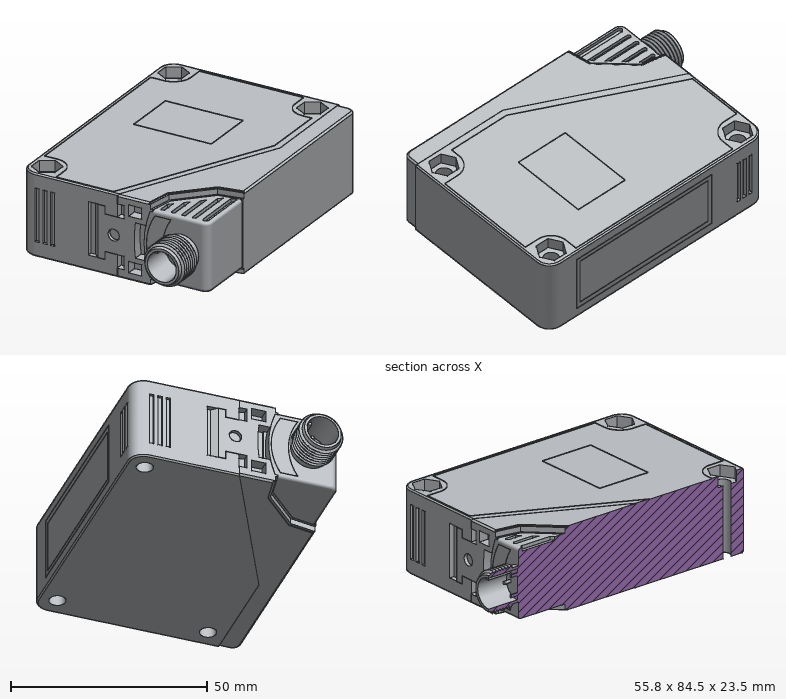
import cadquery as cq
import math

WIDTH = 55.79
DEPTH = 74.55
HEIGHT = 23.5
TOTAL_DEPTH = 84.46
CONNECTOR_LENGTH = TOTAL_DEPTH - DEPTH
TOP = HEIGHT / 2
CLEAR = 5.0

COVER_CORNER_R = 4.2
COVER_CHAMFER = 0.4
COVER_INSET_FRONT = 0.25
BASE_INSET_FRONT = 0.08
BASE_INSET_BACK = 0.4
BASE_INSET_TOP = 0.06
BASE_CORNER_R = 2.2
BASE_CHAMFER = 0.5
PARTING_FRONT_X = 28.6
PARTING_BACK_X = 50.6
PARTING_BEND_Y = 44.7

HOLE_D = 4.4
NUT_FLATS = 7.0
NUT_DEPTH = 3.2
HOLE_LEFT_X = 4.9
HOLE_RIGHT_X = 45.86
HOLE_FRONT_Y = 5.33
HOLE_BACK_Y = 69.1
HOLES = [
    (HOLE_LEFT_X, HOLE_FRONT_Y),
    (HOLE_LEFT_X, HOLE_BACK_Y),
    (HOLE_RIGHT_X, HOLE_BACK_Y),
]

LABEL_MARGIN = 1.15
LABEL_RIGHT_X = 48.65
LABEL_BEND_Y = 45.2
LABEL_FRONT_X = 26.9
LABEL_CORNER_R = 5.1
LABEL_DEPTH = 0.15
WINDOW_X = 11.2
WINDOW_Y = 38.2
WINDOW_SIZE = (22.9, 16.0)
WINDOW_DEPTH = 0.15

PANEL_CENTER_Y = 41.65
PANEL_SIZE = (46.1, 17.5)
PANEL_PANE_SIZE = (43.7, 14.6)
PANEL_STEP = 0.1

GROOVE_COUNT = 3
GROOVE_DEPTH = 1.0
FRONT_GROOVE_X = 4.3
FRONT_GROOVE_WIDTH = 1.2
FRONT_GROOVE_PITCH = 2.28
FRONT_GROOVE_LENGTH = 15.1
SIDE_GROOVE_Y = 4.8
SIDE_GROOVE_WIDTH = 1.1
SIDE_GROOVE_PITCH = 2.0
SIDE_GROOVE_LENGTH = 13.6

LATCH_X = 20.0
LATCH_FLOOR_END_X = 21.35
LATCH_RAMP_END_X = 22.95
LATCH_HEAD_END_X = 25.0
LATCH_HEAD_HEIGHT = 15.1
LATCH_NECK_HEIGHT = 10.6
LATCH_DEPTH = 1.6
LATCH_HOLE_X = 27.6
LATCH_HOLE_D = 3.3
LATCH_HOLE_DEPTH = 1.0

WEDGE_WIDTH = 2.1
WEDGE_TOP_Z = 9.07
WEDGE_DEPTH_LEFT = 2.2
WEDGE_DEPTH_RIGHT = 1.8
SQUARE_X = 32.0
SQUARE_WIDTH = 3.85
SQUARE_BOTTOM_Z = 6.4
SQUARE_TOP_Z = 9.6
SQUARE_DEPTH = 3.0
MIDDLE_LEFT_X = 34.0
MIDDLE_RIGHT_X = 36.1
MIDDLE_BULGE = 0.35
MIDDLE_HEIGHT = 10.0
MIDDLE_DEPTH = 3.0
MIDDLE_LEDGE_DEPTH = 2.5

NOTCH_LOW = (39.2, 7.5)
NOTCH_HIGH = (48.4, 17.0)
NOTCH_SLANT = math.tan(math.radians(10))
NOTCH_LEDGES = [(0.0, 0.35), (0.6, 1.85)]
BLOCK_OFFSET = 1.2
BLOCK_HALF_HEIGHT = 9.85
BLOCK_RIGHT_X = 55.6
BLOCK_FRONT_Y = 0.0
BLOCK_CORNER_R = 2.1
BLOCK_EDGE_R = 0.9
FACE_ARC_X = 36.6
FACE_ARC_END_X = 38.6

BAND_LEFT_X = 37.3
BAND_RIGHT_X = 42.0
BAND_SWEEP = 2.5
BAND_HALF_HEIGHT = 8.4
BAND_DEPTH = 0.1

RIB_GROOVE_WIDTH = 1.1
RIB_GROOVE_FRONT_Y = 1.3
RIB_GROOVE_DEPTH = 1.0
RIB_GROOVE_X = 41.2
RIB_GROOVE_PITCH = 3.1
RIB_GROOVE_BACK_Y = 5.45
RIB_GROOVE_COUNT = 4
RIB_GROOVE_SLANT = 1.0
EDGE_GROOVE_X = 53.7
EDGE_GROOVE_BACK_Y = 16.2
EDGE_GROOVE_WIDTH = 1.6

CONNECTOR_X = 47.65
NECK_R = 5.1
NECK_LENGTH = 2.0
THREAD_CREST_R = 5.95
THREAD_ROOT_R = 5.3
THREAD_PITCH = 1.0
THREAD_COUNT = 7
TIP_R = 5.0
BORE_R = 4.25
BORE_DEPTH = 9.5
PIN_CIRCLE_R = 2.78
PIN_COUNT = 4
PIN_D = 0.9
PIN_LENGTH = 2.0
KEY_SIZE = 1.2
KEY_RECESS = 2.0


def box(x, y, z):
    """Box spanning the three given (low, high) ranges."""
    size = [high - low for low, high in (x, y, z)]
    return cq.Workplane("XY").box(*size, centered=False).translate((x[0], y[0], z[0]))


def front_plane(y):
    """Sketch plane with local axes X and Z at depth y; extruding goes toward -Y."""
    return cq.Workplane("XZ", origin=(0, y, 0))


def notch_outline(offset):
    """Plan outline of the front right notch, moved inward by offset."""
    run_down = NOTCH_LOW[1] + CLEAR
    run_right = WIDTH + CLEAR - NOTCH_HIGH[0]
    points = [
        (NOTCH_LOW[0] - run_down * NOTCH_SLANT, -CLEAR),
        NOTCH_LOW,
        NOTCH_HIGH,
        (WIDTH + CLEAR, NOTCH_HIGH[1] + run_right * NOTCH_SLANT),
        (WIDTH + CLEAR, -CLEAR),
    ]
    outline = cq.Workplane("XY").polyline(points).close()
    if offset:
        outline = outline.offset2D(-offset, "intersection")
    return outline


def cover_region():
    """Full-height prism of everything left of the bent parting line."""
    return (
        cq.Workplane("XY", origin=(0, 0, -TOP))
        .polyline([
            (-CLEAR, 0),
            (PARTING_FRONT_X, 0),
            (PARTING_BACK_X, PARTING_BEND_Y),
            (PARTING_BACK_X, DEPTH),
            (-CLEAR, DEPTH),
        ])
        .close()
        .extrude(HEIGHT)
    )


def make_cover():
    cover = box((0, WIDTH + CLEAR), (COVER_INSET_FRONT, DEPTH), (-TOP, TOP))
    cover = cover.edges("|Z and <X").fillet(COVER_CORNER_R)
    cover = cover.faces("|Z").chamfer(COVER_CHAMFER)
    return cover.intersect(cover_region())


def make_base():
    half = TOP - BASE_INSET_TOP
    base = box((0, WIDTH), (BASE_INSET_FRONT, DEPTH - BASE_INSET_BACK), (-half, half))
    base = base.edges("|Z and >X").fillet(BASE_CORNER_R)
    base = base.faces("|Z").chamfer(BASE_CHAMFER)
    return base.cut(cover_region())


def make_block():
    """Connector block that fills the notch below its ledges and bulges left behind its face."""
    block = box((0, BLOCK_RIGHT_X), (BLOCK_FRONT_Y, DEPTH / 2), (-BLOCK_HALF_HEIGHT, BLOCK_HALF_HEIGHT))
    block = block.edges("|Z and >X and <Y").fillet(BLOCK_CORNER_R)
    block = block.faces("<Y").edges("|X").fillet(BLOCK_EDGE_R)
    region = notch_outline(BLOCK_OFFSET).extrude(HEIGHT, both=True)
    bulge = (
        front_plane(MIDDLE_DEPTH)
        .moveTo(FACE_ARC_END_X, -BLOCK_HALF_HEIGHT)
        .threePointArc((FACE_ARC_X, 0), (FACE_ARC_END_X, BLOCK_HALF_HEIGHT))
        .lineTo(NOTCH_HIGH[0], BLOCK_HALF_HEIGHT)
        .lineTo(NOTCH_HIGH[0], -BLOCK_HALF_HEIGHT)
        .close()
        .extrude(MIDDLE_DEPTH)
    )
    return block.intersect(region.union(bulge))


def cut_notch(body):
    """Step the corner down to the block, equally from the top and the bottom."""
    for offset, depth in NOTCH_LEDGES:
        ledge = notch_outline(offset).extrude(depth + CLEAR)
        body = body.cut(ledge.translate((0, 0, TOP - depth)))
        body = body.cut(ledge.translate((0, 0, -TOP - CLEAR)))
    return body.cut(notch_outline(BLOCK_OFFSET).extrude(HEIGHT, both=True))


def face_band():
    """Cutter for the shallow band between two arcs on the block face."""
    left_end = BAND_LEFT_X + BAND_SWEEP
    right_end = BAND_RIGHT_X + BAND_SWEEP
    return (
        front_plane(BLOCK_FRONT_Y + BAND_DEPTH)
        .moveTo(left_end, -BAND_HALF_HEIGHT)
        .threePointArc((BAND_LEFT_X, 0), (left_end, BAND_HALF_HEIGHT))
        .lineTo(right_end, BAND_HALF_HEIGHT)
        .threePointArc((BAND_RIGHT_X, 0), (right_end, -BAND_HALF_HEIGHT))
        .close()
        .extrude(CLEAR)
    )


def rib_groove(x, back_y, width, slant):
    """Groove with a round front end and a back end that rises to the right by slant."""
    half = width / 2
    return (
        cq.Workplane("XY", origin=(x, 0, BLOCK_HALF_HEIGHT - RIB_GROOVE_DEPTH))
        .moveTo(-half, RIB_GROOVE_FRONT_Y + half)
        .threePointArc((0, RIB_GROOVE_FRONT_Y), (half, RIB_GROOVE_FRONT_Y + half))
        .lineTo(half, back_y + half * slant)
        .lineTo(-half, back_y - half * slant)
        .close()
        .extrude(RIB_GROOVE_DEPTH)
    )


def cut_rib_grooves(body):
    for i in range(RIB_GROOVE_COUNT):
        shift = i * RIB_GROOVE_PITCH
        x = RIB_GROOVE_X + shift
        back_y = RIB_GROOVE_BACK_Y + shift
        body = body.cut(rib_groove(x, back_y, RIB_GROOVE_WIDTH, RIB_GROOVE_SLANT))
    return body.cut(rib_groove(EDGE_GROOVE_X, EDGE_GROOVE_BACK_Y, EDGE_GROOVE_WIDTH, NOTCH_SLANT))


def cut_mounting_holes(body):
    holes = cq.Workplane("XY", origin=(0, 0, -TOP)).pushPoints(HOLES).circle(HOLE_D / 2).extrude(HEIGHT)
    nut_diameter = NUT_FLATS / math.cos(math.pi / 6)
    nut = cq.Workplane("XY").polygon(6, nut_diameter).extrude(NUT_DEPTH)
    nut = nut.rotate((0, 0, 0), (0, 0, 1), 90)
    for x, y in HOLES:
        body = body.cut(nut.translate((x, y, TOP - NUT_DEPTH)))
    return body.cut(holes)


def cut_label(body):
    """Shallow recess that runs clear of the three screw corners."""
    floor_z = TOP - LABEL_DEPTH
    label = (
        cq.Workplane("XY", origin=(0, 0, floor_z))
        .polyline([
            (LABEL_MARGIN, LABEL_MARGIN),
            (LABEL_FRONT_X, LABEL_MARGIN),
            (LABEL_RIGHT_X, LABEL_BEND_Y),
            (LABEL_RIGHT_X, DEPTH - LABEL_MARGIN),
            (LABEL_MARGIN, DEPTH - LABEL_MARGIN),
        ])
        .close()
        .extrude(CLEAR)
    )
    for x, y in HOLES:
        toward_x = -1 if x == HOLE_LEFT_X else 1
        toward_y = -1 if y == HOLE_FRONT_Y else 1
        corner = cq.Workplane("XY", origin=(x, y, floor_z)).circle(LABEL_CORNER_R).extrude(CLEAR)
        for side_x, side_y in ((toward_x, 0), (0, toward_y)):
            pad = cq.Workplane("XY", origin=(x, y, floor_z)).rect(2 * LABEL_CORNER_R, 2 * LABEL_CORNER_R)
            offset = (side_x * LABEL_CORNER_R, side_y * LABEL_CORNER_R, 0)
            corner = corner.union(pad.extrude(CLEAR).translate(offset))
        label = label.cut(corner)
    body = body.cut(label)
    window_floor = floor_z - WINDOW_DEPTH
    return body.cut(box(
        (WINDOW_X, WINDOW_X + WINDOW_SIZE[0]),
        (WINDOW_Y, WINDOW_Y + WINDOW_SIZE[1]),
        (window_floor, TOP),
    ))


def cut_side_panel(body):
    for step, (length, height) in enumerate((PANEL_SIZE, PANEL_PANE_SIZE), start=1):
        body = body.cut(box(
            (0, step * PANEL_STEP),
            (PANEL_CENTER_Y - length / 2, PANEL_CENTER_Y + length / 2),
            (-height / 2, height / 2),
        ))
    return body


def cut_grip_grooves(body):
    front_z = (-FRONT_GROOVE_LENGTH / 2, FRONT_GROOVE_LENGTH / 2)
    side_z = (-SIDE_GROOVE_LENGTH / 2, SIDE_GROOVE_LENGTH / 2)
    for i in range(GROOVE_COUNT):
        x = FRONT_GROOVE_X + i * FRONT_GROOVE_PITCH
        y = SIDE_GROOVE_Y + i * SIDE_GROOVE_PITCH
        body = body.cut(box((x, x + FRONT_GROOVE_WIDTH), (0, GROOVE_DEPTH), front_z))
        body = body.cut(box((0, GROOVE_DEPTH), (y, y + SIDE_GROOVE_WIDTH), side_z))
    return body


def add_latch(body):
    """T-shaped latch, standing level with the base, with a ramped slot along its head."""
    head_z = (-LATCH_HEAD_HEIGHT / 2, LATCH_HEAD_HEIGHT / 2)
    neck_z = (-LATCH_NECK_HEIGHT / 2, LATCH_NECK_HEIGHT / 2)
    level = (BASE_INSET_FRONT, LATCH_DEPTH)
    head = box((LATCH_X, LATCH_HEAD_END_X), level, head_z)
    neck = box((LATCH_X, PARTING_FRONT_X + WEDGE_WIDTH), level, neck_z)
    slot = (
        cq.Workplane("XY", origin=(0, 0, head_z[0]))
        .polyline([
            (LATCH_X, 0),
            (LATCH_X, LATCH_DEPTH),
            (LATCH_FLOOR_END_X, LATCH_DEPTH),
            (LATCH_RAMP_END_X, BASE_INSET_FRONT),
            (LATCH_RAMP_END_X, 0),
        ])
        .close()
        .extrude(LATCH_HEAD_HEIGHT)
    )
    hole = (
        front_plane(BASE_INSET_FRONT + LATCH_HOLE_DEPTH)
        .center(LATCH_HOLE_X, 0)
        .circle(LATCH_HOLE_D / 2)
        .extrude(LATCH_HOLE_DEPTH)
    )
    return body.union(head).union(neck).cut(slot).cut(hole)


def cut_front_pockets(body):
    wedge_bottom_z = LATCH_NECK_HEIGHT / 2
    wedge = (
        cq.Workplane("XY", origin=(0, 0, wedge_bottom_z))
        .polyline([
            (PARTING_FRONT_X, 0),
            (PARTING_FRONT_X, WEDGE_DEPTH_LEFT),
            (PARTING_FRONT_X + WEDGE_WIDTH, WEDGE_DEPTH_RIGHT),
            (PARTING_FRONT_X + WEDGE_WIDTH, 0),
        ])
        .close()
        .extrude(WEDGE_TOP_Z - wedge_bottom_z)
    )
    square = box((SQUARE_X, SQUARE_X + SQUARE_WIDTH), (0, SQUARE_DEPTH), (SQUARE_BOTTOM_Z, SQUARE_TOP_Z))
    for pocket in (wedge, square):
        body = body.cut(pocket).cut(pocket.mirror("XY"))
    middle = (
        front_plane(MIDDLE_DEPTH)
        .moveTo(MIDDLE_RIGHT_X, MIDDLE_HEIGHT / 2)
        .lineTo(MIDDLE_LEFT_X, MIDDLE_HEIGHT / 2)
        .threePointArc((MIDDLE_LEFT_X - MIDDLE_BULGE, 0), (MIDDLE_LEFT_X, -MIDDLE_HEIGHT / 2))
        .lineTo(MIDDLE_RIGHT_X, -MIDDLE_HEIGHT / 2)
        .close()
        .extrude(MIDDLE_DEPTH)
    )
    ledge = box(
        (MIDDLE_RIGHT_X, FACE_ARC_END_X),
        (0, MIDDLE_LEDGE_DEPTH),
        (-MIDDLE_HEIGHT / 2, MIDDLE_HEIGHT / 2),
    )
    return body.cut(middle).cut(ledge)


def make_connector():
    """Threaded M12 plug: revolved body with bore, locating key and contact pins."""
    root_y = BLOCK_EDGE_R + BLOCK_FRONT_Y
    profile = [(0, root_y), (NECK_R, root_y), (NECK_R, -NECK_LENGTH), (THREAD_ROOT_R, -NECK_LENGTH)]
    for i in range(THREAD_COUNT):
        start = -NECK_LENGTH - i * THREAD_PITCH
        profile.append((THREAD_CREST_R, start - THREAD_PITCH / 2))
        profile.append((THREAD_ROOT_R, start - THREAD_PITCH))
    profile += [(TIP_R, -CONNECTOR_LENGTH), (0, -CONNECTOR_LENGTH)]
    plug = cq.Workplane("XY").polyline(profile).close().revolve(360, (0, 0, 0), (0, 1, 0))

    floor_y = BORE_DEPTH - CONNECTOR_LENGTH
    plug = plug.cut(front_plane(floor_y).circle(BORE_R).extrude(BORE_DEPTH))
    pins = front_plane(floor_y).polarArray(PIN_CIRCLE_R, 0, 360, PIN_COUNT)
    pins = pins.circle(PIN_D / 2).extrude(PIN_LENGTH)
    key_offset = BORE_R * math.sqrt(0.5)
    key = (
        front_plane(floor_y)
        .center(-key_offset, key_offset)
        .rect(KEY_SIZE, KEY_SIZE)
        .extrude(BORE_DEPTH - KEY_RECESS)
    )
    return plug.union(pins).union(key).translate((CONNECTOR_X, 0, 0))


body = make_cover().union(make_base())
body = cut_notch(body)
body = add_latch(body)
body = cut_front_pockets(body)
body = body.union(make_block()).cut(face_band())
body = cut_rib_grooves(body)
body = cut_mounting_holes(body)
body = cut_label(body)
body = cut_side_panel(body)
body = cut_grip_grooves(body)
result = body.union(make_connector())